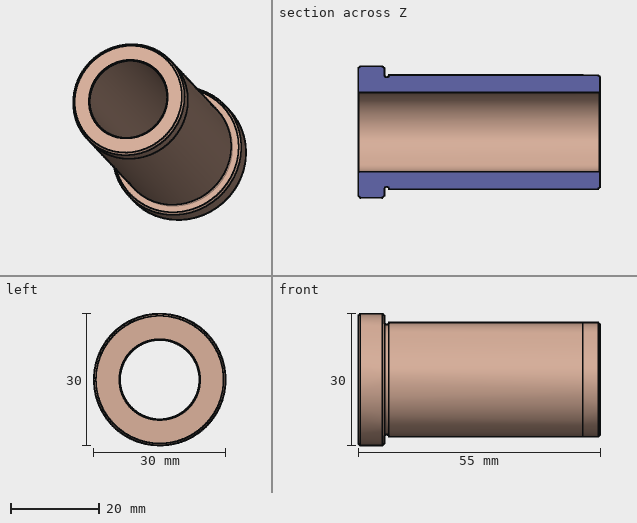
import cadquery as cq

total_length = 55.0
head_length = 6.0
head_radius = 30.0 / 2
body_radius = 26.0 / 2
bore_radius = 18.0 / 2
edge_chamfer = 0.5
bore_chamfer = 0.2

groove_radius = 0.5
groove_end = head_length + 2 * groove_radius
groove_bottom = (head_length + groove_radius, body_radius - groove_radius)

lead_in_length = 4.0
lead_in_clearance = 0.01
lead_in_start = total_length - lead_in_length
lead_in_radius = body_radius - lead_in_clearance


def make_bushing():
    """Revolve the half section: head, relief groove, body, lead-in and bore."""
    half_section = (
        cq.Workplane("XY")
        .moveTo(bore_chamfer, bore_radius)
        .lineTo(0, bore_radius + bore_chamfer)
        .lineTo(0, head_radius - edge_chamfer)
        .lineTo(edge_chamfer, head_radius)
        .lineTo(head_length - edge_chamfer, head_radius)
        .lineTo(head_length, head_radius - edge_chamfer)
        .lineTo(head_length, body_radius)
        .threePointArc(groove_bottom, (groove_end, body_radius))
        .lineTo(lead_in_start, body_radius)
        .lineTo(lead_in_start, lead_in_radius)
        .lineTo(total_length - edge_chamfer, lead_in_radius)
        .lineTo(total_length, lead_in_radius - edge_chamfer)
        .lineTo(total_length, bore_radius + bore_chamfer)
        .lineTo(total_length - bore_chamfer, bore_radius)
        .close()
    )
    return half_section.revolve(360, (0, 0, 0), (1, 0, 0))


result = make_bushing()